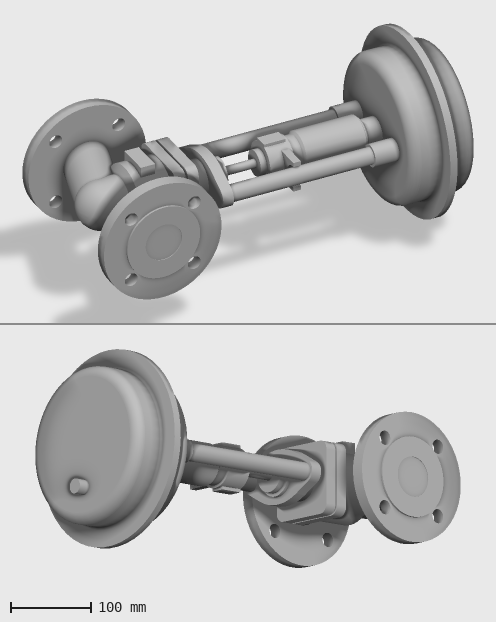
import cadquery as cq
import math


face_to_face = 230.0
pipe_flange_radius = 82.5
pipe_flange_thickness = 17.0
raised_face_radius = 51.0
raised_face_height = 3.0
bolt_circle_radius = 62.5
bolt_hole_radius = 9.0
bolt_count = 4
port_radius = 25.5
port_depth = 1.0
flange_outer_x = face_to_face / 2 - raised_face_height
flange_inner_x = flange_outer_x - pipe_flange_thickness

pipe_radius = 31.2
bowl_radius = 33.0
bowl_centre_y = -29.5
branch_crossing_x = 98.0
branch_overrun = 1.2
bowl_top_y = -3.0
chest_bottom_y = 3.5
chest_radius = 45.5
chest_top_y = 51.0
square_side = 93.3
square_corner_radius = 12.0
square_thickness = 15.0
gasket_radius = 38.0
gasket_height = 3.0
nameplate_length = 45.0
nameplate_width = 20.0
nameplate_top_z = 54.0
nameplate_centre_y = 25.0
bonnet_y = chest_top_y + square_thickness + gasket_height
bonnet_top_y = bonnet_y + square_thickness

neck_radius = 25.5
neck_top_y = 129.0
gland_radius = 21.0
gland_top_y = 138.5
stem_radius = 6.0

column_offset = 50.0
column_radius = 11.5
sleeve_radius = 15.0
sleeve_length = 33.5
plate_bottom_y = 109.0
plate_thickness = 15.0
plate_half_width = 35.0
plate_arc_radius = 70.0
plate_top_y = plate_bottom_y + plate_thickness

casing_radius = 100.0
casing_bottom_y = 356.3
casing_height = 91.4
casing_round = 13.5
rim_radius = 125.0
rim_thickness = 10.0
rim_fillet = 3.0
air_port_radius = 9.5
air_port_z = -55.0
air_port_length = 15.3
casing_top_y = casing_bottom_y + casing_height
casing_middle_y = casing_bottom_y + casing_height / 2

collar_radius = 17.5
collar_bottom_y = 186.0
clamp_bottom_y = 194.5
clamp_top_y = 229.0
coupling_radius = 27.5
barrel_bottom_y = 242.0
barrel_chamfer = 3.5
waist_radius = coupling_radius - barrel_chamfer
barrel_top_y = 333.0
rod_radius = 19.0
rod_cone_height = 4.0
pad_width = 19.0
pad_half_height = 30.0
pad_length = 30.0
arm_start_x = 17.0
arm_end_x = 52.0
arm_thickness = 10.5
arm_half_height = 21.0
arm_notch_radius = 15.0
arm_top_y = clamp_bottom_y + pad_length
arm_bottom_y = arm_top_y - arm_thickness


def cylinder_y(radius, y_start, y_end, x=0.0, z=0.0):
    """Round bar parallel to Y."""
    bar = cq.Solid.makeCylinder(radius, y_end - y_start, cq.Vector(x, y_start, z), cq.Vector(0, 1, 0))
    return cq.Workplane(obj=bar)


def cylinder_x(radius, x_start, x_end, y=0.0, z=0.0):
    """Round bar parallel to X."""
    bar = cq.Solid.makeCylinder(radius, x_end - x_start, cq.Vector(x_start, y, z), cq.Vector(1, 0, 0))
    return cq.Workplane(obj=bar)


def block(x_range, y_range, z_range):
    """Box between the given limits."""
    sizes = [high - low for low, high in (x_range, y_range, z_range)]
    return cq.Workplane().box(*sizes, centered=False).translate((x_range[0], y_range[0], z_range[0]))


def make_pipe_flange():
    """Flange on the +X side, with raised face, bolt holes and a shallow port recess."""
    end_x = face_to_face / 2
    flange = cylinder_x(pipe_flange_radius, flange_inner_x, flange_outer_x)
    flange = flange.union(cylinder_x(raised_face_radius, flange_outer_x, end_x))
    for index in range(bolt_count):
        angle = 2 * math.pi * (index + 0.5) / bolt_count
        hole_y = bolt_circle_radius * math.cos(angle)
        hole_z = bolt_circle_radius * math.sin(angle)
        flange = flange.cut(cylinder_x(bolt_hole_radius, flange_inner_x, flange_outer_x, hole_y, hole_z))
    return flange.cut(cylinder_x(port_radius, end_x - port_depth, end_x))


def make_branch():
    """Inclined pipe on the +X side, from inside the chest down to the flange."""
    inner = cq.Vector(0, -bowl_centre_y, 0)
    direction = cq.Vector(branch_crossing_x, 0, 0) - inner
    pipe = cq.Solid.makeCylinder(pipe_radius, direction.Length * branch_overrun, inner, direction)
    limit = block((0, flange_inner_x), (-face_to_face, face_to_face), (-face_to_face, face_to_face))
    return cq.Workplane(obj=pipe).intersect(limit)


def make_square_flange(y_start):
    """Square flange with rounded corners, centred on the spindle."""
    half = square_side / 2
    flange = block((-half, half), (y_start, y_start + square_thickness), (-half, half))
    return flange.edges("|Y").fillet(square_corner_radius)


def make_bowl_and_chest():
    """Turned valve chest with its round-bottomed bowl."""
    return (
        cq.Workplane("XY")
        .moveTo(0, bowl_centre_y - bowl_radius)
        .radiusArc((bowl_radius, bowl_centre_y), -bowl_radius)
        .lineTo(bowl_radius, bowl_top_y)
        .lineTo(chest_radius, chest_bottom_y)
        .lineTo(chest_radius, chest_top_y)
        .lineTo(0, chest_top_y)
        .close()
        .revolve(360, (0, 0, 0), (0, 1, 0))
    )


def make_nameplate():
    """Raised rectangular pad on the +Z side of the chest."""
    half_length = nameplate_length / 2
    half_width = nameplate_width / 2
    return block(
        (-half_length, half_length),
        (nameplate_centre_y - half_width, nameplate_centre_y + half_width),
        (0, nameplate_top_z),
    )


def make_valve():
    """Valve body with branches, flanges, bonnet, gland and stem."""
    valve = make_bowl_and_chest()
    port_side = make_branch().union(make_pipe_flange())
    for turn in (0, 180):
        valve = valve.union(port_side.rotate((0, 0, 0), (0, 0, 1), turn))
    valve = valve.union(make_nameplate())
    valve = valve.union(make_square_flange(chest_top_y))
    valve = valve.union(cylinder_y(gasket_radius, chest_top_y, bonnet_top_y))
    valve = valve.union(make_square_flange(bonnet_y))
    valve = valve.union(cylinder_y(neck_radius, bonnet_y, neck_top_y))
    valve = valve.union(cylinder_y(gland_radius, bonnet_y, gland_top_y))
    return valve.union(cylinder_y(stem_radius, bonnet_y, collar_bottom_y))


def make_casing():
    """Turned diaphragm casing with clamping rim and off-centre air port."""
    shell = cylinder_y(casing_radius, casing_bottom_y, casing_top_y)
    shell = shell.faces("<Y or >Y").edges().fillet(casing_round)
    rim_half = rim_thickness / 2
    shell = shell.union(cylinder_y(rim_radius, casing_middle_y - rim_half, casing_middle_y + rim_half))
    reach = casing_radius + rim_fillet
    corner_y = rim_half + rim_fillet
    corner_box = cq.selectors.BoxSelector(
        (-reach, casing_middle_y - corner_y, -reach),
        (reach, casing_middle_y + corner_y, reach),
        boundingbox=True,
    )
    shell = shell.edges(corner_box).edges("%CIRCLE").fillet(rim_fillet)
    return shell.union(
        cylinder_y(air_port_radius, casing_middle_y, casing_top_y + air_port_length, z=air_port_z)
    )


def make_yoke_plate():
    """Plate with round ends and bowed sides, bored for the bonnet neck."""
    bow_centre_z = plate_half_width - plate_arc_radius
    span = math.hypot(column_offset, bow_centre_z)
    normal = math.atan2(column_offset, -bow_centre_z) - math.acos((plate_arc_radius - sleeve_radius) / span)
    bow_x = plate_arc_radius * math.sin(normal)
    bow_z = bow_centre_z + plate_arc_radius * math.cos(normal)
    end_x = column_offset + sleeve_radius * math.sin(normal)
    end_z = sleeve_radius * math.cos(normal)
    tip_x = column_offset + sleeve_radius
    plate = (
        cq.Workplane("XZ", origin=(0, plate_top_y, 0))
        .moveTo(-bow_x, bow_z)
        .threePointArc((0, plate_half_width), (bow_x, bow_z))
        .lineTo(end_x, end_z)
        .threePointArc((tip_x, 0), (end_x, -end_z))
        .lineTo(bow_x, -bow_z)
        .threePointArc((0, -plate_half_width), (-bow_x, -bow_z))
        .lineTo(-end_x, -end_z)
        .threePointArc((-tip_x, 0), (-end_x, end_z))
        .close()
        .extrude(plate_thickness)
    )
    return plate.cut(cylinder_y(neck_radius, plate_bottom_y, plate_top_y))


def make_coupling():
    """Turned stem coupling with two flat pads and an arm notched round one column."""
    barrel_shoulder_y = barrel_bottom_y + barrel_chamfer
    barrel_edge_y = barrel_top_y - barrel_chamfer
    lower_outline = [
        (0, collar_bottom_y),
        (collar_radius, collar_bottom_y),
        (collar_radius, clamp_bottom_y),
        (coupling_radius, clamp_bottom_y),
        (coupling_radius, clamp_top_y),
        (waist_radius, clamp_top_y),
        (waist_radius, barrel_bottom_y),
        (coupling_radius, barrel_shoulder_y),
        (coupling_radius, barrel_edge_y),
    ]
    coupling = (
        cq.Workplane("XY")
        .polyline(lower_outline)
        .radiusArc((waist_radius, barrel_top_y), barrel_chamfer)
        .lineTo(rod_radius, barrel_top_y + rod_cone_height)
        .lineTo(rod_radius, casing_bottom_y)
        .lineTo(0, casing_bottom_y)
        .close()
        .revolve(360, (0, 0, 0), (0, 1, 0))
    )
    pads = block(
        (-pad_width / 2, pad_width / 2),
        (clamp_bottom_y, arm_top_y),
        (-pad_half_height, pad_half_height),
    )
    arm = block(
        (arm_start_x, arm_end_x),
        (arm_bottom_y, arm_top_y),
        (-arm_half_height, arm_half_height),
    )
    arm = arm.cut(cylinder_y(arm_notch_radius, arm_bottom_y, arm_top_y, x=column_offset))
    return coupling.union(pads).union(arm)


def make_actuator():
    """Diaphragm casing, yoke columns and plate, and stem coupling."""
    actuator = make_casing().union(make_yoke_plate())
    sleeve_bottom_y = casing_bottom_y - sleeve_length
    for x in (-column_offset, column_offset):
        actuator = actuator.union(cylinder_y(column_radius, plate_top_y, casing_bottom_y, x=x))
        actuator = actuator.union(cylinder_y(sleeve_radius, sleeve_bottom_y, casing_bottom_y, x=x))
    return actuator.union(make_coupling())


valve = make_valve()
actuator = make_actuator()
result = cq.Compound.makeCompound([valve.val(), actuator.val()])